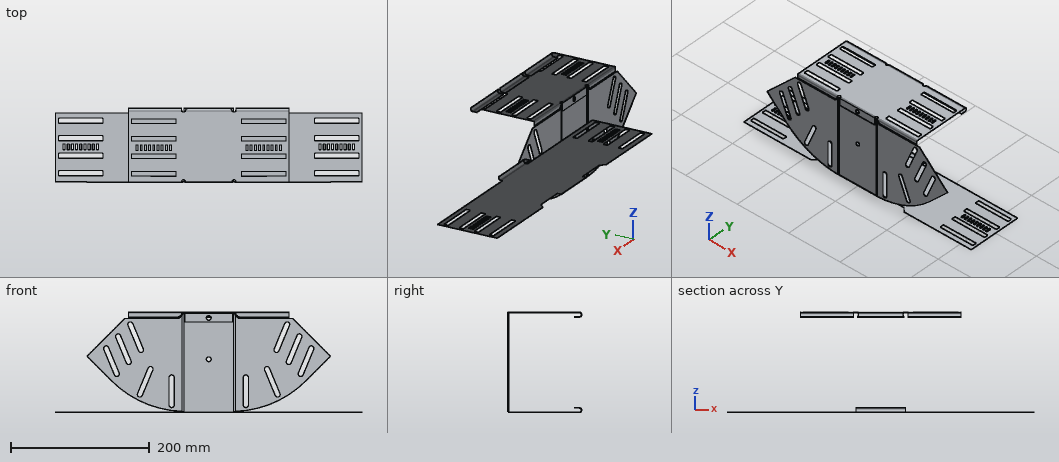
import cadquery as cq
import math

LENGTH = 442.0
DEPTH = 107.0
HEIGHT = 145.0
FRONT_Y = -DEPTH / 2
FAR_Y = DEPTH / 2
TOP_Z = HEIGHT / 2
BOTTOM_Z = -HEIGHT / 2

SHEET = 1.0
BEND_INNER_RADIUS = 0.65
BEND_OUTER_RADIUS = BEND_INNER_RADIUS + SHEET
LIP_HEIGHT = 7.5
LIP_REACH = 10.5
CURL_RADIUS = LIP_HEIGHT / 2

COVER_HALF_LENGTH = 116.0
TAB_HALF_WIDTH = 34.0
TAB_HEIGHT = 14.5
RELIEF_INNER_X = 33.5
RELIEF_OUTER_X = 39.0
RELIEF_WIDTH = RELIEF_OUTER_X - RELIEF_INNER_X
FRONT_RELIEF_DEPTH = 4.0
FAR_RELIEF_DEPTH = 5.5
LIP_TAPER = 1.8
FLANGE_END_CHAMFER = 4.5

BASE_HALF_LENGTH = LENGTH / 2
PANEL_Y = FRONT_Y + SHEET
PANEL_HALF_WIDTH = 36.0
PANEL_TOP_Z = 70.3
JOGGLE_WIDTH = 2.5
WING_ROOT_X = PANEL_HALF_WIDTH + JOGGLE_WIDTH
LIP_OVERHANG = 6.5
BASE_FAR_Y = FAR_Y - LIP_OVERHANG
BASE_RECESS_DEPTH = 7.5
BASE_RECESS_HALF_LENGTH = 90.5

WING_TIP_X = 175.5
WING_TIP_Z = 9.0
WING_TOP_Z = 63.0
WING_BOTTOM_Z = -70.5
WING_TOP_CHAMFER = 4.5
WING_ARC_RADIUS = 150.5
WING_ARC_ANGLE = 45.0

WING_SLOT_LENGTH = 47.0
WING_SLOT_WIDTH = 7.0
WING_SLOT_LEAN = 22.5
WING_SLOTS = [
    (105.0, 36.2, WING_SLOT_LEAN),
    (123.0, 19.0, WING_SLOT_LEAN),
    (140.0, 1.8, WING_SLOT_LEAN),
    (91.5, -28.0, -WING_SLOT_LEAN),
    (53.5, -41.5, 0.0),
]

HOLE_DIAMETER = 6.5
TAB_HOLE_Z = 64.0
PANEL_HOLE_Z = 4.5

PATTERN_END_DISTANCE = 36.5
COVER_PATTERN_Y = -3.0
BASE_PATTERN_Y = -2.0
LONG_SLOT_LENGTH = 63.5
LONG_SLOT_WIDTH = 7.0
LONG_SLOT_PITCH = 25.0
LONG_SLOT_COUNT = 4
LONG_SLOT_CORNER = 1.0
SMALL_SLOT_LENGTH = 8.0
SMALL_SLOT_WIDTH = 2.5
SMALL_SLOT_COUNT = 9
SMALL_SLOT_SPAN = 48.0
SMALL_SLOT_PITCH = SMALL_SLOT_SPAN / (SMALL_SLOT_COUNT - 1)


def block(x_range, y_range, z_range):
    """Box between the given limits on each axis."""
    return (
        cq.Workplane("XY")
        .box(
            x_range[1] - x_range[0],
            y_range[1] - y_range[0],
            z_range[1] - z_range[0],
            centered=False,
        )
        .translate((x_range[0], y_range[0], z_range[0]))
    )


def both_ends(body):
    """The body together with its mirror image across the YZ plane."""
    return body.union(body.mirror("YZ"))


def channel(half_length, front_y, face_z, inward, flange_height):
    """Bent sheet along X: a front flange, a flat web and a curled lip on the far edge.

    face_z is the outer face of the web, and inward (+1 or -1) is the Z direction of both bends.
    """
    diagonal = math.sqrt(0.5)
    bend_y = front_y + BEND_OUTER_RADIUS
    curl_y = FAR_Y - CURL_RADIUS
    tail_y = FAR_Y - LIP_REACH

    def at(y, depth):
        return (y, face_z + inward * depth)

    def bend_middle(radius):
        return at(bend_y - radius * diagonal, BEND_OUTER_RADIUS - radius * diagonal)

    return (
        cq.Workplane("YZ")
        .moveTo(*at(bend_y, 0))
        .lineTo(*at(curl_y, 0))
        .threePointArc(at(FAR_Y, CURL_RADIUS), at(curl_y, LIP_HEIGHT))
        .lineTo(*at(tail_y, LIP_HEIGHT))
        .lineTo(*at(tail_y, LIP_HEIGHT - SHEET))
        .lineTo(*at(curl_y, LIP_HEIGHT - SHEET))
        .threePointArc(at(FAR_Y - SHEET, CURL_RADIUS), at(curl_y, SHEET))
        .lineTo(*at(bend_y, SHEET))
        .threePointArc(bend_middle(BEND_INNER_RADIUS), at(front_y + SHEET, BEND_OUTER_RADIUS))
        .lineTo(*at(front_y + SHEET, flange_height))
        .lineTo(*at(front_y, flange_height))
        .lineTo(*at(front_y, BEND_OUTER_RADIUS))
        .threePointArc(bend_middle(BEND_OUTER_RADIUS), at(bend_y, 0))
        .close()
        .extrude(half_length, both=True)
    )


def slot_pattern(half_length, center_y, face_z):
    """Cutters for the long and small slots near both ends of a sheet."""
    center_x = half_length - PATTERN_END_DISTANCE
    plane = cq.Workplane("XY", origin=(center_x, center_y, face_z))
    long_slots = (
        plane.rarray(4.5, LONG_SLOT_PITCH, 1, LONG_SLOT_COUNT)
        .rect(LONG_SLOT_LENGTH, LONG_SLOT_WIDTH)
        .extrude(SHEET, both=True)
        .edges("|Z")
        .fillet(LONG_SLOT_CORNER)
    )
    small_slots = (
        plane.rarray(SMALL_SLOT_PITCH, 4.5, SMALL_SLOT_COUNT, 1)
        .rect(SMALL_SLOT_WIDTH, SMALL_SLOT_LENGTH)
        .extrude(SHEET, both=True)
    )
    return both_ends(long_slots.union(small_slots))


def screw_hole(z):
    """Cutter for a hole through the front sheets on the middle line."""
    return (
        cq.Workplane("XZ", origin=(0, FRONT_Y, z))
        .circle(HOLE_DIAMETER / 2)
        .extrude(2 * SHEET, both=True)
    )


def relief(edge_y, depth, inward):
    """Round-ended cutter that parts a bent edge at both ends of its middle piece."""
    center_x = (RELIEF_INNER_X + RELIEF_OUTER_X) / 2
    radius = RELIEF_WIDTH / 2
    shoulder_y = edge_y + inward * (depth - radius)
    notch = (
        cq.Workplane("XY", origin=(0, 0, TOP_Z))
        .moveTo(RELIEF_INNER_X, edge_y)
        .lineTo(RELIEF_INNER_X, shoulder_y)
        .threePointArc((center_x, edge_y + inward * depth), (RELIEF_OUTER_X, shoulder_y))
        .lineTo(RELIEF_OUTER_X, edge_y)
        .close()
        .extrude(-LIP_HEIGHT)
    )
    return both_ends(notch)


def far_lip_parting():
    """Cutter that separates the inward tail of the far lip, and tapers its middle piece."""
    z_range = (TOP_Z - LIP_HEIGHT, TOP_Z - SHEET)
    tail_gap = block((RELIEF_INNER_X, RELIEF_OUTER_X), (FAR_Y - LIP_REACH, FAR_Y), z_range)
    taper = (
        cq.Workplane("XY", origin=(0, 0, TOP_Z))
        .moveTo(RELIEF_INNER_X, FAR_Y - CURL_RADIUS)
        .lineTo(RELIEF_INNER_X, FAR_Y)
        .lineTo(RELIEF_INNER_X - LIP_TAPER, FAR_Y)
        .close()
        .extrude(-LIP_HEIGHT)
    )
    return both_ends(tail_gap.union(taper))


def flange_end_chamfers():
    """Cutter for the sloped inner ends of the two front flanges."""
    bottom_z = TOP_Z - LIP_HEIGHT
    corner = (
        cq.Workplane("XZ", origin=(0, FRONT_Y, 0))
        .moveTo(RELIEF_OUTER_X, bottom_z)
        .lineTo(RELIEF_OUTER_X + FLANGE_END_CHAMFER, bottom_z)
        .lineTo(RELIEF_OUTER_X, bottom_z + FLANGE_END_CHAMFER)
        .close()
        .extrude(-SHEET)
    )
    return both_ends(corner)


def make_cover():
    """Upper sheet: web with slots, front flanges, far lip and a middle screw tab."""
    tab = block(
        (-TAB_HALF_WIDTH, TAB_HALF_WIDTH),
        (FRONT_Y, FRONT_Y + SHEET),
        (TOP_Z - TAB_HEIGHT, TOP_Z - BEND_OUTER_RADIUS),
    )
    return (
        channel(COVER_HALF_LENGTH, FRONT_Y, TOP_Z, -1, LIP_HEIGHT)
        .cut(relief(FRONT_Y, FRONT_RELIEF_DEPTH, 1))
        .cut(relief(FAR_Y, FAR_RELIEF_DEPTH, -1))
        .cut(far_lip_parting())
        .cut(flange_end_chamfers())
        .union(tab)
        .cut(screw_hole(TAB_HOLE_Z))
        .cut(slot_pattern(COVER_HALF_LENGTH, COVER_PATTERN_Y, TOP_Z))
    )


def base_plate():
    """Flat bottom sheet, recessed with 45 degree ends along the middle of its front edge."""
    recess_y = PANEL_Y + BASE_RECESS_DEPTH
    recess_x = BASE_RECESS_HALF_LENGTH - BASE_RECESS_DEPTH
    return (
        cq.Workplane("XY", origin=(0, 0, BOTTOM_Z))
        .polyline(
            [
                (-BASE_HALF_LENGTH, BASE_FAR_Y),
                (-BASE_HALF_LENGTH, PANEL_Y),
                (-BASE_RECESS_HALF_LENGTH, PANEL_Y),
                (-recess_x, recess_y),
                (recess_x, recess_y),
                (BASE_RECESS_HALF_LENGTH, PANEL_Y),
                (BASE_HALF_LENGTH, PANEL_Y),
                (BASE_HALF_LENGTH, BASE_FAR_Y),
            ]
        )
        .close()
        .extrude(SHEET)
    )


def wing_slot(x, z, lean):
    """Cutter for one leaning round-ended slot in the right wing."""
    return (
        cq.Workplane("XZ", origin=(x, FRONT_Y, z))
        .slot2D(WING_SLOT_LENGTH, WING_SLOT_WIDTH, 90 - lean)
        .extrude(SHEET, both=True)
    )


def wing():
    """Right wing, one sheet thickness in front of the panel, with the joggle joining them."""
    corner_x = WING_TIP_X - (WING_TIP_Z - WING_BOTTOM_Z)
    arc_start_x = corner_x - WING_ARC_RADIUS * math.tan(math.radians(WING_ARC_ANGLE / 2))

    def arc_point(degrees):
        angle = math.radians(degrees)
        return (
            arc_start_x + WING_ARC_RADIUS * math.sin(angle),
            WING_BOTTOM_Z + WING_ARC_RADIUS * (1 - math.cos(angle)),
        )

    sheet = (
        cq.Workplane("XZ", origin=(0, FRONT_Y, 0))
        .moveTo(*arc_point(0))
        .threePointArc(arc_point(WING_ARC_ANGLE / 2), arc_point(WING_ARC_ANGLE))
        .lineTo(WING_TIP_X, WING_TIP_Z)
        .lineTo(WING_TIP_X - (WING_TOP_Z - WING_TIP_Z), WING_TOP_Z)
        .lineTo(WING_ROOT_X + WING_TOP_CHAMFER, WING_TOP_Z)
        .lineTo(WING_ROOT_X, WING_TOP_Z + WING_TOP_CHAMFER)
        .lineTo(arc_start_x, WING_TOP_Z + WING_TOP_CHAMFER)
        .close()
        .extrude(-SHEET)
        .cut(block((0, WING_ROOT_X), (FRONT_Y, PANEL_Y), (BOTTOM_Z, TOP_Z)))
    )
    joggle = (
        cq.Workplane("XY", origin=(0, 0, WING_BOTTOM_Z))
        .polyline(
            [
                (PANEL_HALF_WIDTH, PANEL_Y),
                (WING_ROOT_X, FRONT_Y),
                (WING_ROOT_X, FRONT_Y + SHEET),
                (PANEL_HALF_WIDTH, PANEL_Y + SHEET),
            ]
        )
        .close()
        .extrude(PANEL_TOP_Z - WING_BOTTOM_Z)
    )
    body = sheet.union(joggle)
    for x, z, lean in WING_SLOTS:
        body = body.cut(wing_slot(x, z, lean))
    return body


def make_base():
    """Lower sheet: long slotted plate, upright middle panel and two slotted wings."""
    middle = channel(PANEL_HALF_WIDTH, PANEL_Y, BOTTOM_Z, 1, PANEL_TOP_Z - BOTTOM_Z)
    return (
        middle.union(base_plate())
        .union(both_ends(wing()))
        .cut(screw_hole(TAB_HOLE_Z))
        .cut(screw_hole(PANEL_HOLE_Z))
        .cut(slot_pattern(BASE_HALF_LENGTH, BASE_PATTERN_Y, BOTTOM_Z))
    )


cover = make_cover()
base = make_base()

result = cq.Compound.makeCompound([cover.solids().val(), base.solids().val()])